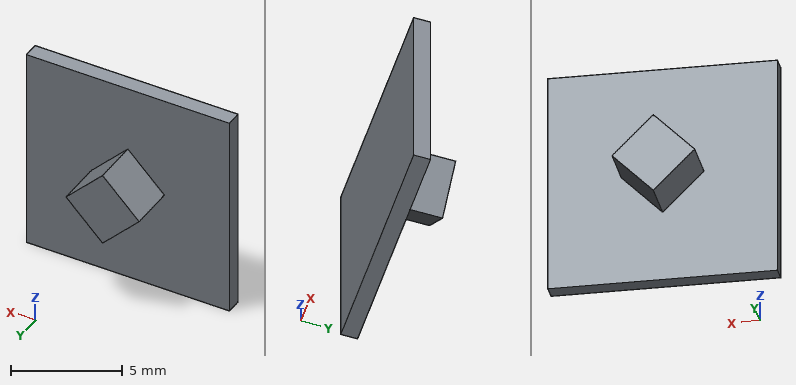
import cadquery as cq

plate_side = 10.5
plate_thickness = 0.8

total_depth = 3.1
peg_diagonal = 3.78
peg_length = total_depth - plate_thickness

peg_front_y = plate_thickness


def make_plate():
    """Square plate centred on X and Z, with its outer face at Y = 0."""
    return cq.Workplane("XY").box(plate_side, plate_thickness, plate_side, centered=(True, False, True))


def make_peg():
    """Diamond-shaped peg standing on the middle of the plate's back face."""
    corner = peg_diagonal / 2
    return (
        cq.Workplane("XZ", origin=(0, peg_front_y, 0))
        .polyline([(corner, 0), (0, corner), (-corner, 0), (0, -corner)])
        .close()
        .extrude(-peg_length)
    )


plate = make_plate()
peg = make_peg()

result = cq.Compound.makeCompound([plate.val(), peg.val()])